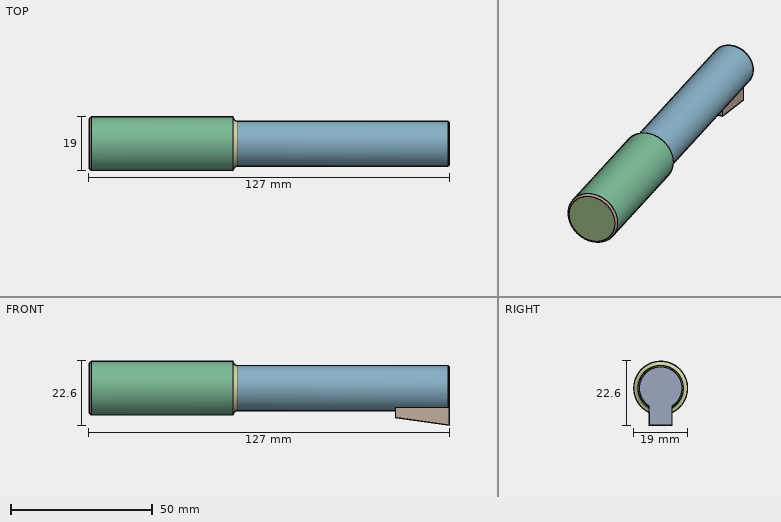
import cadquery as cq
import math

total_length = 127.0
shank_diameter = 19.0
shank_length = 50.8
neck_diameter = 16.0
shank_chamfer = 0.8
neck_chamfer = 0.5

blade_length = 19.0
blade_width = 8.1
blade_tip_drop = 13.1
blade_heel_drop = 10.4

shank_radius = shank_diameter / 2
neck_radius = neck_diameter / 2
shoulder_radius = shank_radius - neck_radius


def make_bar():
    """Shank, hollow-filleted shoulder and neck, revolved about the X axis."""
    shoulder_end = shank_length + shoulder_radius
    arc_offset = shoulder_radius * math.sqrt(0.5)
    arc_middle = (shoulder_end - arc_offset, shank_radius - arc_offset)
    profile = (
        cq.Workplane("XY")
        .lineTo(0, shank_radius - shank_chamfer)
        .lineTo(shank_chamfer, shank_radius)
        .lineTo(shank_length, shank_radius)
        .threePointArc(arc_middle, (shoulder_end, neck_radius))
        .lineTo(total_length - neck_chamfer, neck_radius)
        .lineTo(total_length, neck_radius - neck_chamfer)
        .lineTo(total_length, 0)
        .close()
    )
    return profile.revolve(360, (0, 0, 0), (1, 0, 0))


def make_blade():
    """Sloped-bottom block, rooted at the bar axis and flush with the free end."""
    inner_end = total_length - blade_length
    outline = [
        (inner_end, 0),
        (inner_end, -blade_heel_drop),
        (total_length, -blade_tip_drop),
        (total_length, 0),
    ]
    return cq.Workplane("XZ").polyline(outline).close().extrude(blade_width / 2, both=True)


result = make_bar().union(make_blade())